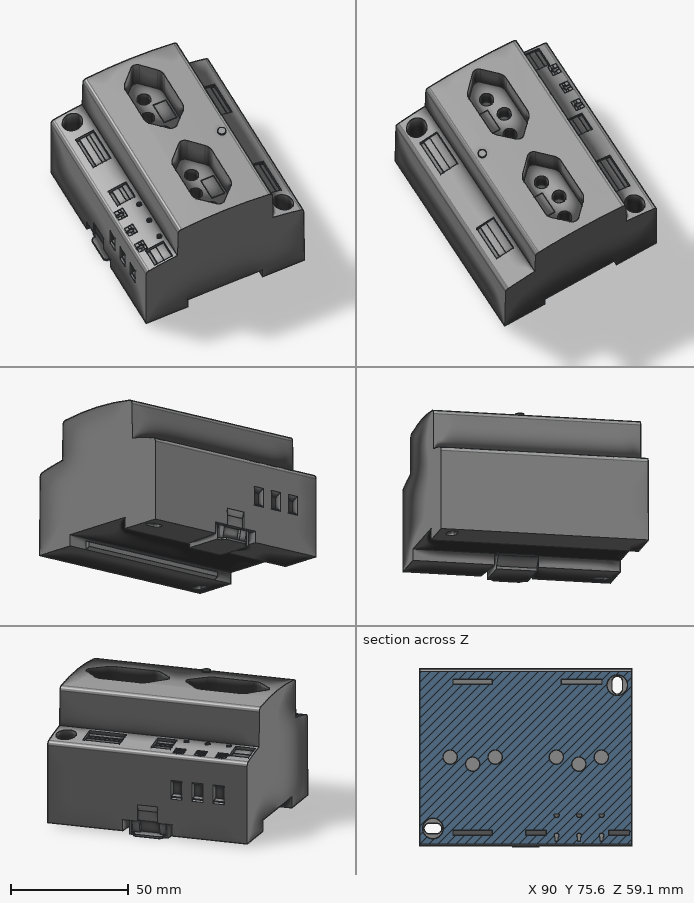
import cadquery as cq
import math

width = 90.0
depth = 75.15
draft = 0.45
edge_radius = 1.9
shoulder_top = 40.6
shoulder_radius = 148.5
dome_top = 57.4
dome_radius = 153.0
tower_front = 14.8
tower_rear = 60.3
tower_base = 36.0

rail_front = 19.8
rail_rear = 55.3
rail_height = 4.95
hook_width = 72.0
hook_reach = 1.9
hook_root_top = 3.8
hook_tip_heights = (1.1, 3.15)

socket_x = 22.5
socket_y = 37.6
socket_half_length = 19.8
socket_half_width = 9.2
socket_tip_radius = 2.8
socket_side_radius = 5.0
socket_floor = 44.1
pin_diameter = 5.9
pin_depth = 9.0
pin_pitch = 19.1
earth_pin_offset = -3.0
plate_length = 10.35
plate_width = 6.0
plate_y = 42.8
plate_recess = 0.4

lamp_x = 6.5
lamp_y = 55.2
lamp_diameter = 3.5
lamp_top = 57.2

window_near = 4.6
window_far = 13.05
window_depth = 1.3
window_gutter = 1.9
window_gutter_depth = 0.9
window_step_at = 9.45
window_step = 0.2
groove_width = 1.6
groove_depth = 0.3
front_windows = [(-30.8, -14.2, True), (0.0, 8.6, True), (35.2, 43.9, False)]
rear_windows = [(-30.8, -14.2, False), (15.1, 32.2, False)]

mounting_holes = [(-39.3, 7.4, 0), (38.8, 68.1, 90)]
mount_bore = 8.6
mount_floor = 2.7
slot_length = 7.5
slot_width = 4.4

first_terminal_x = 13.05
terminal_pitch = 9.5
terminal_x = [first_terminal_x + terminal_pitch * i for i in range(3)]
terminal_width = 4.5
entry_width = 4.9
terminal_pocket_near = 2.0
terminal_steps = [5.9, 4.8, 3.7]
terminal_step_depth = 0.4
keyhole_y = 4.3
keyhole_diameter = 2.0
keyhole_slot = 1.2
keyhole_depth = 0.5
test_hole_y = 12.7
test_hole_diameter = 2.2
test_hole_depth = 2.7
entry_depth = 3.15
entry_sill_depth = 0.9
entry_bottom = 16.4
entry_sill_heights = (16.9, 17.4)
entry_back_heights = (17.9, 23.0)
entry_top = 24.7

clip_width = 17.5
clip_wall = 1.0
clip_bottom = -1.7
clip_front = 1.8
clip_bay_width = 22.4
clip_bay_throat = 19.1
clip_slope_top = 2.0
clip_slope_bottom = 3.2
clip_hook_reach = 3.6
clip_hook_tip = 3.6
clip_hook_root = -0.45
clip_hook_shoulder = 4.05
clip_neck = 1.0
tab_top = -0.8
tab_front = -0.4
tab_width = 13.05
tab_chamfer = 1.0
driver_slot_width = 9.1
driver_slot_depth = 0.9
driver_slot_top = 12.2
driver_slot_back_top = 9.5
driver_slot_step = 5.2
driver_slot_clip_top = 3.6
driver_slot_clip_bottom = 4.9


def arc_z(top, radius, offset):
    """Height of a circular arch at a horizontal offset from its crown."""
    return top - radius + math.sqrt(radius**2 - offset**2)


def shoulder_z(y):
    """Height of the shoulder surface at Y."""
    return arc_z(shoulder_top, shoulder_radius, y - depth / 2)


def prism(points, x_left, x_right):
    """Extrude a Y-Z polygon between two X positions."""
    profile = cq.Workplane("YZ", origin=(x_left, 0, 0)).polyline(points).close()
    return profile.extrude(x_right - x_left)


def centred_prism(points, length, x=0.0):
    return prism(points, x - length / 2, x + length / 2)


def box(x_range, y_range, z_range):
    size = [end - start for start, end in (x_range, y_range, z_range)]
    corner = (x_range[0], y_range[0], z_range[0])
    return cq.Workplane("XY").box(*size, centered=False).translate(corner)


def arched_block(front, rear, base, top, radius, front_draft):
    """Full-width block with leaning walls, an arched top and rounded top edges."""
    front_top = front + front_draft
    rear_top = rear - draft
    middle = (front_top + rear_top) / 2
    eave = arc_z(top, radius, middle - front_top)
    block = (
        cq.Workplane("YZ")
        .moveTo(front, base)
        .lineTo(front_top, eave)
        .threePointArc((middle, top), (rear_top, eave))
        .lineTo(rear, base)
        .close()
        .extrude(width / 2, both=True)
    )
    return block.edges("|X").edges(">Z").fillet(edge_radius)


def housing():
    body = arched_block(0, depth, 0, shoulder_top, shoulder_radius, 0)
    tower = arched_block(tower_front, tower_rear, tower_base, dome_top, dome_radius, draft)
    body = body.union(tower)
    body = body.cut(box((-width / 2, width / 2), (rail_front, rail_rear), (0, rail_height)))
    hook = [
        (rail_rear, 0),
        (rail_rear - hook_reach, hook_tip_heights[0]),
        (rail_rear - hook_reach, hook_tip_heights[1]),
        (rail_rear, hook_root_top),
    ]
    return body.union(centred_prism(hook, hook_width))


def socket(x):
    """Hexagonal plug recess with three pin holes and a sunk plate."""
    flat = socket_half_length - socket_half_width
    outline = [
        (socket_half_length, 0),
        (flat, socket_half_width),
        (-flat, socket_half_width),
        (-socket_half_length, 0),
        (-flat, -socket_half_width),
        (flat, -socket_half_width),
    ]
    floor = cq.Workplane("XY", origin=(x, socket_y, socket_floor))
    recess = floor.polyline(outline).close().extrude(dome_top - socket_floor)
    tips = recess.edges("|Z").edges("<X or >X")
    recess = tips.fillet(socket_tip_radius)
    side_corners = recess.edges("|Z").edges("<Y or >Y")
    recess = side_corners.fillet(socket_side_radius)
    pins = [(-pin_pitch / 2, 0), (pin_pitch / 2, 0), (0, earth_pin_offset)]
    recess = recess.union(floor.pushPoints(pins).circle(pin_diameter / 2).extrude(-pin_depth))
    plate = floor.center(0, plate_y - socket_y).rect(plate_length, plate_width).extrude(-plate_recess)
    return recess.union(plate)


def label_window(x_left, x_right, grooved):
    """Front label window; its stepped floor follows the slope of the shoulder."""
    gutter_end = window_near + window_gutter

    def floor(y, extra=0.0):
        return (y, shoulder_z(y) - window_depth - extra)

    points = [
        (window_near, shoulder_top),
        floor(window_near, window_gutter_depth),
        floor(gutter_end, window_gutter_depth),
        floor(gutter_end, window_step),
        floor(window_step_at, window_step),
    ]
    if grooved:
        groove_end = window_step_at + groove_width
        points += [
            floor(window_step_at, groove_depth + window_step),
            floor(groove_end, groove_depth + window_step),
            floor(groove_end),
        ]
    else:
        points.append(floor(window_step_at))
    points += [floor(window_far), (window_far, shoulder_top)]
    return prism(points, x_left, x_right)


def mounting_hole(x, y, angle):
    bore = cq.Workplane("XY", origin=(x, y, mount_floor)).circle(mount_bore / 2).extrude(shoulder_top)
    slot = cq.Workplane("XY", origin=(x, y, 0)).slot2D(slot_length, slot_width, angle).extrude(shoulder_top)
    return bore.union(slot)


def test_hole(x):
    """Blind round hole square to the shoulder surface."""
    lean = (test_hole_y - depth / 2) / shoulder_radius
    normal = (0, lean, math.sqrt(1 - lean**2))
    mouth = cq.Plane((x, test_hole_y, shoulder_z(test_hole_y)), (1, 0, 0), normal)
    return cq.Workplane(mouth).circle(test_hole_diameter / 2).extrude(test_hole_depth, both=True)


def terminal(x):
    """Stepped screw pocket with a keyhole, a test hole and a wire entry in the front face."""
    sides = (x - terminal_width / 2, x + terminal_width / 2)
    rim = shoulder_z(terminal_pocket_near)
    cutter = None
    for rear_end in terminal_steps:
        floor = shoulder_z(rear_end) - terminal_step_depth
        step = box(sides, (terminal_pocket_near, rear_end), (floor, shoulder_top))
        cutter = step if cutter is None else cutter.union(step)
    key_base = cq.Workplane("XY", origin=(x, keyhole_y, rim - keyhole_depth))
    cutter = cutter.union(key_base.circle(keyhole_diameter / 2).extrude(2 * keyhole_depth))
    slot_sides = (x - keyhole_slot / 2, x + keyhole_slot / 2)
    slot_heights = (rim - keyhole_depth, rim + keyhole_depth)
    cutter = cutter.union(box(slot_sides, (terminal_pocket_near, keyhole_y), slot_heights))
    cutter = cutter.union(test_hole(x))
    entry = [
        (0, entry_bottom),
        (entry_sill_depth, entry_sill_heights[0]),
        (entry_sill_depth, entry_sill_heights[1]),
        (entry_depth, entry_back_heights[0]),
        (entry_depth, entry_back_heights[1]),
        (0, entry_top),
    ]
    return cutter.union(centred_prism(entry, entry_width, x))


def clip_bay():
    """Bay for the clip, open to the front, the rail and below, narrowing towards the rail."""
    mouth = clip_bay_width / 2
    throat = clip_bay_throat / 2
    outline = [(-mouth, 0), (-throat, rail_front), (throat, rail_front), (mouth, 0)]
    return cq.Workplane("XY").polyline(outline).close().extrude(rail_height)


def clip():
    """Sliding rail clip: a body with a rail hook at the rear and a pull tab at the front."""
    profile = [
        (clip_front, clip_bottom),
        (rail_front, clip_bottom),
        (rail_front, clip_hook_root),
        (rail_front + clip_hook_reach, clip_hook_tip),
        (rail_front + clip_neck, clip_hook_shoulder),
        (rail_front + clip_neck, rail_height),
        (clip_front, rail_height),
    ]
    body = centred_prism(profile, clip_width)
    slope = [
        (0, rail_height),
        (clip_slope_top, rail_height),
        (clip_slope_bottom, tab_top),
        (0, tab_top),
    ]
    body = body.cut(centred_prism(slope, clip_width - 2 * clip_wall))
    tab = box((-tab_width / 2, tab_width / 2), (tab_front, rail_front), (clip_bottom, tab_top))
    return body.union(tab.edges("|Z").edges("<Y").chamfer(tab_chamfer))


def driver_slot():
    """Screwdriver slot above the tab, deepening towards the bottom."""
    profile = [
        (0, driver_slot_top),
        (driver_slot_depth, driver_slot_back_top),
        (driver_slot_depth, driver_slot_step),
        (driver_slot_clip_top, driver_slot_step),
        (driver_slot_clip_bottom, tab_top),
        (0, tab_top),
    ]
    return centred_prism(profile, driver_slot_width)


result = housing()
lamp = cq.Workplane("XY", origin=(lamp_x, lamp_y, socket_floor)).circle(lamp_diameter / 2)
result = result.union(lamp.extrude(lamp_top - socket_floor))
for side in (-1, 1):
    result = result.cut(socket(side * socket_x))
for window in front_windows:
    result = result.cut(label_window(*window))
for window in rear_windows:
    result = result.cut(label_window(*window).mirror("XZ", (0, depth / 2, 0)))
for hole in mounting_holes:
    result = result.cut(mounting_hole(*hole))
for x in terminal_x:
    result = result.cut(terminal(x))
result = result.cut(clip_bay()).union(clip()).cut(driver_slot())